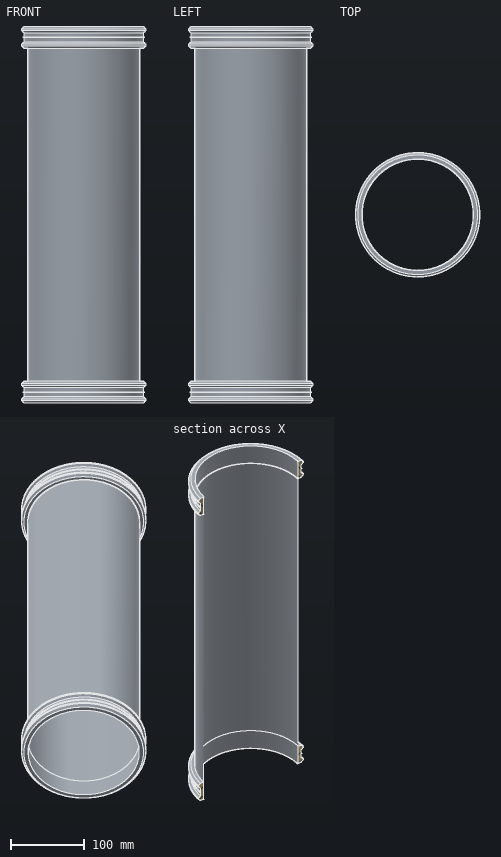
import cadquery as cq

LENGTH = 509.0
BORE_RADIUS = 150.0 / 2
TUBE_RADIUS = 151.5 / 2
COLLAR_RADIUS = 162.0 / 2
RIB_RADIUS = 168.5 / 2
BEAD_RADIUS = 164.0 / 2

COLLAR_HEIGHT = 29.5
GROOVE_CENTRE = 15.0
GROOVE_WIDTH = 12.0
BEAD_WIDTH = 0.5
END_RIB_CREST = (3.5, 5.5)
INNER_RIB_CREST = (24.0, 26.5)


def make_collar():
    """Ring with two bevelled ribs and a beaded groove between them, free end at Z = 0."""
    groove_start = GROOVE_CENTRE - GROOVE_WIDTH / 2
    groove_end = GROOVE_CENTRE + GROOVE_WIDTH / 2
    profile = [
        (BORE_RADIUS, 0),
        (COLLAR_RADIUS, 0),
        (RIB_RADIUS, END_RIB_CREST[0]),
        (RIB_RADIUS, END_RIB_CREST[1]),
        (COLLAR_RADIUS, groove_start),
        (COLLAR_RADIUS, GROOVE_CENTRE - BEAD_WIDTH / 2),
        (BEAD_RADIUS, GROOVE_CENTRE - BEAD_WIDTH / 2),
        (BEAD_RADIUS, GROOVE_CENTRE + BEAD_WIDTH / 2),
        (COLLAR_RADIUS, GROOVE_CENTRE + BEAD_WIDTH / 2),
        (COLLAR_RADIUS, groove_end),
        (RIB_RADIUS, INNER_RIB_CREST[0]),
        (RIB_RADIUS, INNER_RIB_CREST[1]),
        (COLLAR_RADIUS, COLLAR_HEIGHT),
        (BORE_RADIUS, COLLAR_HEIGHT),
    ]
    return cq.Workplane("XZ").polyline(profile).close().revolve(360, (0, 0), (0, 1))


def make_tube():
    """Thin sheet tube spanning the distance between the collars."""
    return (
        cq.Workplane("XY")
        .workplane(offset=COLLAR_HEIGHT)
        .circle(TUBE_RADIUS)
        .circle(BORE_RADIUS)
        .extrude(LENGTH - 2 * COLLAR_HEIGHT)
    )


def make_pipe():
    """Tube in one piece with its lower collar."""
    return make_collar().union(make_tube())


def make_end_collar():
    """Separate upper collar, butted against the top of the tube."""
    return make_collar().mirror("XY").translate((0, 0, LENGTH))


pipe = make_pipe()
end_collar = make_end_collar()

result = cq.Compound.makeCompound([pipe.val(), end_collar.val()])